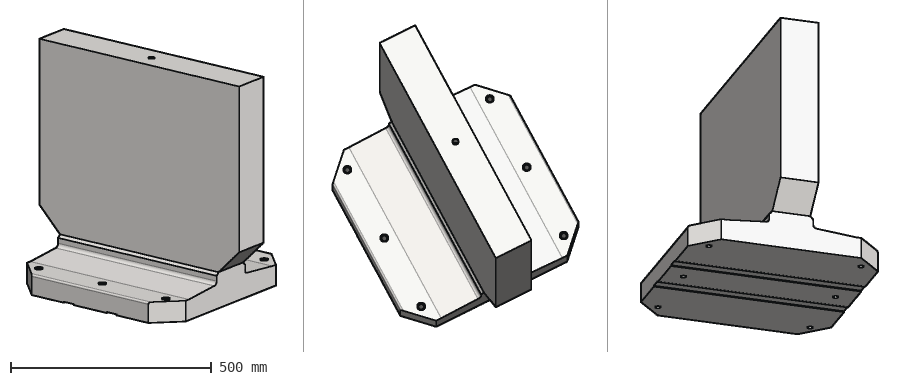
import cadquery as cq
import math

plate_length = 630.0
plate_thickness = 100.0
total_height = 595.0
plate_bottom = 95.0

base_size = 500.0
base_corner_cut = 66.0
rim_height = 55.0
rim_width = 80.0
rim_fillet = 5.0
slope_angle = 5.0

neck_chamfer = 7.5
neck_fillet = 10.0

bolt_span = 400.0
bolt_diameter = 14.0
bolt_bore_diameter = 17.5
bolt_bore_depth = 3.0
bolt_lead_in = 1.0

lift_hole_diameter = 14.0
lift_hole_mouth_diameter = 16.0
lift_hole_depth = 31.5
drill_tip_angle = 118.0

groove_width = 30.0
groove_depth = 2.5
groove_offset = 67.5

half_base = base_size / 2
neck_half_width = plate_thickness / 2 + neck_chamfer
slope_start = half_base - rim_width
slope_rise = (slope_start - neck_half_width) * math.tan(math.radians(slope_angle))


def make_base():
    """Base and neck: one T-shaped section run along X, with the corners cut off."""
    right_half = [
        (half_base, 0),
        (half_base, rim_height),
        (slope_start, rim_height),
        (neck_half_width, rim_height + slope_rise),
        (neck_half_width, plate_bottom - neck_chamfer),
        (plate_thickness / 2, plate_bottom),
    ]
    left_half = [(-y, z) for y, z in reversed(right_half)]
    body = (
        cq.Workplane("YZ")
        .polyline(right_half + left_half)
        .close()
        .extrude(half_base, both=True)
    )
    neck_corners = cq.selectors.BoxSelector(
        (-half_base, -neck_half_width - neck_fillet, rim_height + slope_rise / 2),
        (half_base, neck_half_width + neck_fillet, rim_height + slope_rise + neck_fillet / 2),
    )
    body = body.edges("|X").edges("<Y or >Y").edges(">Z").fillet(rim_fillet)
    body = body.edges("|X").edges(neck_corners).fillet(neck_fillet)
    outline = (
        cq.Workplane("XY")
        .rect(base_size, base_size)
        .extrude(total_height)
        .edges("|Z")
        .chamfer(base_corner_cut)
    )
    return body.intersect(outline)


def make_plate():
    """Upright plate whose lower corners taper at 45 degrees to the base width."""
    taper = (plate_length - base_size) / 2
    return (
        cq.Workplane("XY", origin=(0, 0, plate_bottom))
        .box(plate_length, plate_thickness, total_height - plate_bottom, centered=(True, True, False))
        .edges("|Y and <Z")
        .chamfer(taper)
    )


def revolved_hole(profile):
    """Tool made by turning a (radius, height) profile about the Z axis."""
    return cq.Workplane("XZ").polyline(profile).close().revolve(360, (0, 0), (0, 1))


def make_bolt_holes():
    """Three through holes in each rim, with a shallow counterbore and a 45 degree lead-in."""
    bore_radius = bolt_bore_diameter / 2
    mouth_radius = bore_radius + bolt_lead_in
    bore_floor = rim_height - bolt_bore_depth
    profile = [
        (0, rim_height),
        (mouth_radius, rim_height),
        (bore_radius, rim_height - bolt_lead_in),
        (bore_radius, bore_floor),
        (bolt_diameter / 2, bore_floor),
        (bolt_diameter / 2, 0),
        (0, 0),
    ]
    hole = revolved_hole(profile)
    return (
        cq.Workplane("XY")
        .rarray(bolt_span / 2, bolt_span, 3, 2)
        .eachpoint(hole.val(), combine=False)
        .combine()
    )


def make_lift_hole():
    """Blind drilled hole with a 45 degree lead-in and a conical bottom, on the vertical centerline."""
    radius = lift_hole_diameter / 2
    tip_length = radius / math.tan(math.radians(drill_tip_angle / 2))
    mouth_radius = lift_hole_mouth_diameter / 2
    mouth_depth = mouth_radius - radius
    floor = total_height - lift_hole_depth
    profile = [
        (0, total_height),
        (mouth_radius, total_height),
        (radius, total_height - mouth_depth),
        (radius, floor),
        (0, floor - tip_length),
    ]
    return revolved_hole(profile)


def make_grooves():
    """Two grooves running the full depth of the base along Y."""
    return (
        cq.Workplane("XY")
        .pushPoints([(-groove_offset, 0), (groove_offset, 0)])
        .rect(groove_width, base_size)
        .extrude(groove_depth)
    )


result = make_base().union(make_plate())
result = result.cut(make_bolt_holes()).cut(make_lift_hole()).cut(make_grooves())